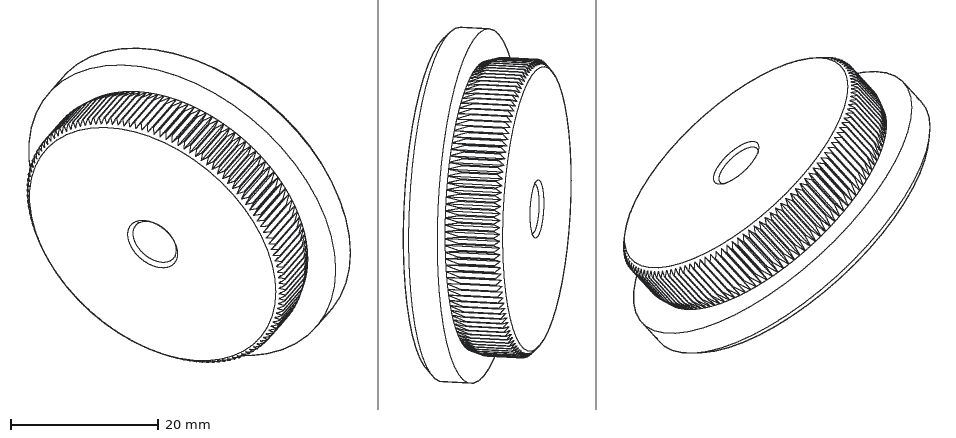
import cadquery as cq
import math

total_length = 13.0
flange_radius = 24.15
flange_thickness = 5.0
flange_chamfer = 1.0
knurl_radius = 20.35
knurl_chamfer = 0.95
hole_radius = 6.8 / 2
countersink_depth = 0.55

tooth_count = 130
tooth_depth = 0.65
tip_flat = 0.15

taper_length = 1.95
neck_radius = 19.75

boss_length = total_length - flange_thickness
root_radius = knurl_radius - tooth_depth


def revolve_about_y(outline):
    """Turn a closed outline of (radius, Y) points about the Y axis."""
    return cq.Workplane("XY").polyline(outline).close().revolve(360, (0, 0, 0), (0, 1, 0))


def flange():
    return revolve_about_y([
        (0, boss_length),
        (flange_radius, boss_length),
        (flange_radius, total_length - flange_chamfer),
        (flange_radius - flange_chamfer, total_length),
        (0, total_length),
    ])


def boss_blank():
    """Smooth boss with a chamfered front rim and a narrowed neck."""
    return revolve_about_y([
        (0, 0),
        (knurl_radius - knurl_chamfer, 0),
        (knurl_radius, knurl_chamfer),
        (knurl_radius, boss_length - taper_length),
        (neck_radius, boss_length),
        (0, boss_length),
    ])


def toothed_prism():
    """Prism with the full tooth form; one tooth points along +X."""
    pitch_angle = 2 * math.pi / tooth_count
    half_tip_angle = tip_flat / 2 / knurl_radius
    outline = []
    for tooth in range(tooth_count):
        middle = tooth * pitch_angle
        corners = [
            (knurl_radius, middle - half_tip_angle),
            (knurl_radius, middle + half_tip_angle),
            (root_radius, middle + pitch_angle / 2),
        ]
        for radius, angle in corners:
            outline.append((radius * math.cos(angle), radius * math.sin(angle)))
    return cq.Workplane("XZ").polyline(outline).close().extrude(-boss_length)


def countersunk_hole():
    """Through hole with a 45 degree countersink at the front face."""
    return revolve_about_y([
        (0, 0),
        (hole_radius + countersink_depth, 0),
        (hole_radius, countersink_depth),
        (hole_radius, total_length),
        (0, total_length),
    ])


knurled_boss = toothed_prism().intersect(boss_blank())
result = flange().union(knurled_boss).cut(countersunk_hole())